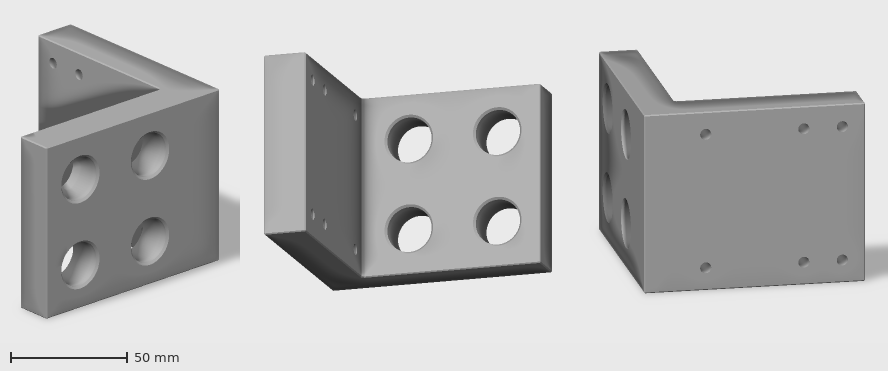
import cadquery as cq

width = 97.0
depth = 99.5
height = 80.0

back_thickness = 19.0
side_thickness = 17.0
edge_chamfer = 0.5
inner_corner_bevel = 1

screw_diameter = 4.9
screw_x = (10.0, 27.0, 70.0)
screw_edge_distance = 10.0

bore_diameter = 20.0
bore_chamfer = 1
bore_pitch = 40.0
bore_from_back = 40.0

back_face = depth
back_inner_face = depth - back_thickness
side_inner_face = width - side_thickness
mid_height = height / 2


def make_bracket():
    """L-shaped block with a bevel filling the inner corner and all other edges chamfered."""
    outline = [
        (0, back_face),
        (width, back_face),
        (width, 0),
        (side_inner_face, 0),
        (side_inner_face, back_inner_face - inner_corner_bevel),
        (side_inner_face - inner_corner_bevel, back_inner_face),
        (0, back_inner_face),
    ]
    block = cq.Workplane("XY").polyline(outline).close().extrude(height)
    end_edges = block.edges("#Z")
    inner_corner = cq.selectors.BoxSelector(
        (side_inner_face - 2 * inner_corner_bevel, back_inner_face - 2 * inner_corner_bevel, 0),
        (side_inner_face + inner_corner_bevel, back_inner_face + inner_corner_bevel, height),
    )
    outer_corner_edges = block.edges("|Z").edges(-inner_corner)
    return block.newObject(end_edges.vals() + outer_corner_edges.vals()).chamfer(edge_chamfer)


def make_screw_holes():
    heights = (screw_edge_distance, height - screw_edge_distance)
    centers = [(x, z) for x in screw_x for z in heights]
    return (
        cq.Workplane("XZ")
        .pushPoints(centers)
        .circle(screw_diameter / 2)
        .extrude(-depth)
    )


def make_bore(y, z):
    """Cutter for one large hole, flared at both faces of the side plate."""
    radius = bore_diameter / 2
    mouth_radius = radius + bore_chamfer
    half_section = [
        (side_inner_face, 0),
        (side_inner_face, mouth_radius),
        (side_inner_face + bore_chamfer, radius),
        (width - bore_chamfer, radius),
        (width, mouth_radius),
        (width, 0),
    ]
    cutter = cq.Workplane("XY").polyline(half_section).close().revolve(360, (0, 0), (1, 0))
    return cutter.translate((0, y, z))


result = make_bracket().cut(make_screw_holes())

first_bore_y = back_face - bore_from_back
for bore_y in (first_bore_y, first_bore_y - bore_pitch):
    for bore_z in (mid_height - bore_pitch / 2, mid_height + bore_pitch / 2):
        result = result.cut(make_bore(bore_y, bore_z))